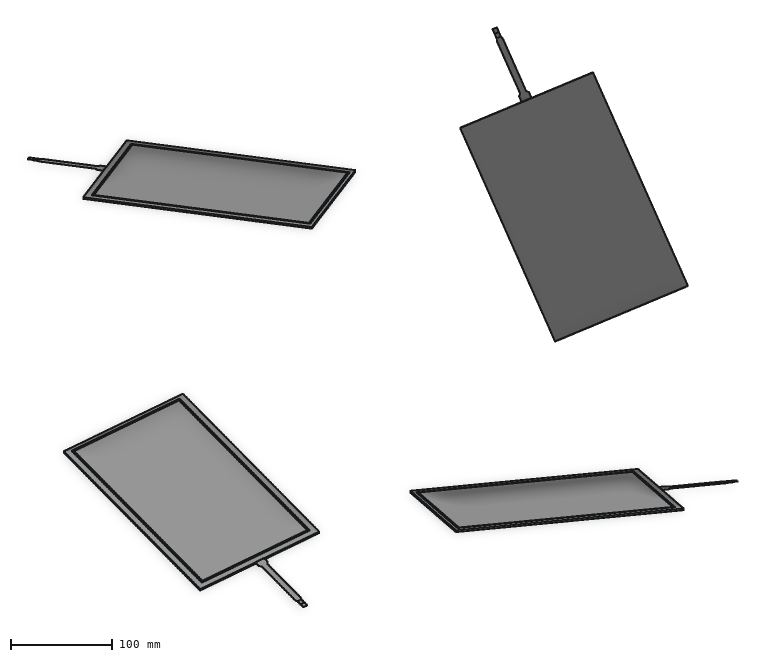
import cadquery as cq

TOTAL_LENGTH = 316.3
TOTAL_HEIGHT = 2.6
PANEL_LENGTH = 237.0
PANEL_WIDTH = 143.0
PANEL_THICKNESS = 2.1
TAIL_LENGTH = TOTAL_LENGTH - PANEL_LENGTH

GROOVE_INSET = 6.5
GROOVE_FAR_INSET = 3.8
GROOVE_WIDTH = 2.0
GROOVE_DEPTH = 0.15

TAIL_THICKNESS = 0.5
ROOT_WIDTH = 10.8
ROOT_LENGTH = 6.3
ROOT_TAPER_LENGTH = 2.2
STRIP_WIDTH = 6.5
TIP_WIDTH = 4.7
TIP_LENGTH = 10.0
TIP_TAPER_LENGTH = 3.0

CONTACT_LENGTH = 5.0
CONTACT_THICKNESS = 0.3
TIP_STEP = 0.15


def centred_block(length, width, height, x_start, z_bottom):
    """Box starting at x_start and centred on the X axis."""
    return (
        cq.Workplane("XY")
        .box(length, width, height, centered=(False, True, False))
        .translate((x_start, 0, z_bottom))
    )


def make_panel():
    """Flat panel with a rectangular groove around its active area."""
    plate = centred_block(PANEL_LENGTH, PANEL_WIDTH, PANEL_THICKNESS, 0, 0)
    groove_floor = PANEL_THICKNESS - GROOVE_DEPTH

    def groove_block(shrink):
        near_inset = GROOVE_INSET + shrink
        far_inset = GROOVE_FAR_INSET + shrink
        length = PANEL_LENGTH - near_inset - far_inset
        width = PANEL_WIDTH - 2 * near_inset
        return centred_block(length, width, GROOVE_DEPTH, near_inset, groove_floor)

    groove = groove_block(0).cut(groove_block(GROOVE_WIDTH))
    return plate.cut(groove)


def make_tail():
    """Strip with a wide root against the panel edge and a stepped narrow tip."""
    tip_x = -TAIL_LENGTH
    tip_end_x = tip_x + TIP_LENGTH
    tail_bottom = TOTAL_HEIGHT - TAIL_THICKNESS
    upper_side = [
        (tip_x, TIP_WIDTH / 2),
        (tip_end_x, TIP_WIDTH / 2),
        (tip_end_x + TIP_TAPER_LENGTH, STRIP_WIDTH / 2),
        (-ROOT_LENGTH - ROOT_TAPER_LENGTH, STRIP_WIDTH / 2),
        (-ROOT_LENGTH, ROOT_WIDTH / 2),
        (0, ROOT_WIDTH / 2),
    ]
    lower_side = [(x, -y) for x, y in reversed(upper_side)]
    tail = (
        cq.Workplane("XY", origin=(0, 0, tail_bottom))
        .polyline(upper_side + lower_side)
        .close()
        .extrude(TAIL_THICKNESS - TIP_STEP)
    )
    tip_pad = centred_block(TIP_LENGTH, TIP_WIDTH, TIP_STEP, tip_x, TOTAL_HEIGHT - TIP_STEP)
    contact_relief = centred_block(
        CONTACT_LENGTH, TIP_WIDTH, TAIL_THICKNESS - CONTACT_THICKNESS, tip_x, tail_bottom
    )
    return tail.union(tip_pad).cut(contact_relief)


panel = make_panel()
tail = make_tail()

result = cq.Compound.makeCompound([panel.val(), tail.val()])